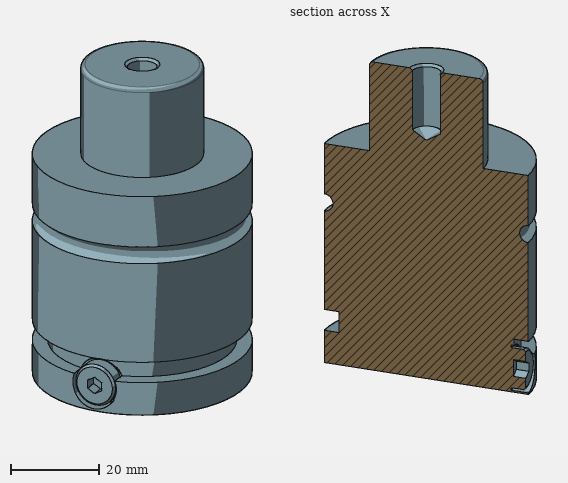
import cadquery as cq
import math

body_diameter = 50.0
neck_diameter = 43.0
rod_diameter = 28.0
total_height = 76
flange_height = 8.05
neck_top = 13.1
body_top = 54.0
rod_edge_size = 1.0

groove_height = 39.5
groove_radius = 2.05

hole_diameter = 6.8
hole_mouth_diameter = 8.0
hole_depth = 15.2
drill_point_angle = 118

plug_height = 6.0
plug_diameter = 10.0
plug_edge_chamfer = 0.5
plug_face_distance = 24.4
recess_diameter = 11.0
recess_floor_distance = 20.8
hex_across_flats = 3.5
hex_depth = 3.05

body_radius = body_diameter / 2


def disc(diameter, bottom, top):
    """Cylinder on the Z axis between two heights."""
    return cq.Workplane("XY").workplane(offset=bottom).circle(diameter / 2).extrude(top - bottom)


def plug_plane(distance):
    """Sketch plane on the plug axis, facing outward along -Y."""
    return cq.Workplane("XZ", origin=(0, -distance, plug_height))


def make_body():
    flange = disc(body_diameter, 0, flange_height)
    neck = disc(neck_diameter, flange_height, neck_top)
    barrel = disc(body_diameter, neck_top, body_top)
    rod = disc(rod_diameter, body_top, total_height).faces(">Z").edges().fillet(rod_edge_size)
    groove = (
        cq.Workplane("XZ")
        .center(body_radius, groove_height)
        .circle(groove_radius)
        .revolve(360, (-body_radius, 0), (-body_radius, 1))
    )
    return flange.union(neck).union(barrel).union(rod).cut(groove)


def make_rod_hole():
    """Blind drilled hole with a conical bottom and a 45 degree countersunk mouth."""
    hole_radius = hole_diameter / 2
    mouth_radius = hole_mouth_diameter / 2
    countersink_depth = mouth_radius - hole_radius
    point_depth = hole_radius / math.tan(math.radians(drill_point_angle / 2))
    cylinder_bottom = total_height - hole_depth
    return (
        cq.Workplane("XZ")
        .moveTo(0, total_height)
        .lineTo(mouth_radius, total_height)
        .lineTo(hole_radius, total_height - countersink_depth)
        .lineTo(hole_radius, cylinder_bottom)
        .lineTo(0, cylinder_bottom - point_depth)
        .close()
        .revolve(360, (0, 0), (0, 1))
    )


def make_plug_recess():
    recess_length = body_radius - recess_floor_distance
    return plug_plane(recess_floor_distance).circle(recess_diameter / 2).extrude(recess_length)


def make_plug():
    """Chamfered round plug with a hexagon socket, corners up and down."""
    plug_length = plug_face_distance - recess_floor_distance
    hex_corner_diameter = hex_across_flats / math.cos(math.radians(30))
    plug = plug_plane(recess_floor_distance).circle(plug_diameter / 2).extrude(plug_length)
    plug = plug.faces("<Y").edges().chamfer(plug_edge_chamfer)
    socket = (
        plug_plane(plug_face_distance)
        .transformed(rotate=(0, 0, 90))
        .polygon(6, hex_corner_diameter)
        .extrude(-hex_depth)
    )
    return plug.cut(socket)


result = make_body().cut(make_rod_hole()).cut(make_plug_recess()).union(make_plug())